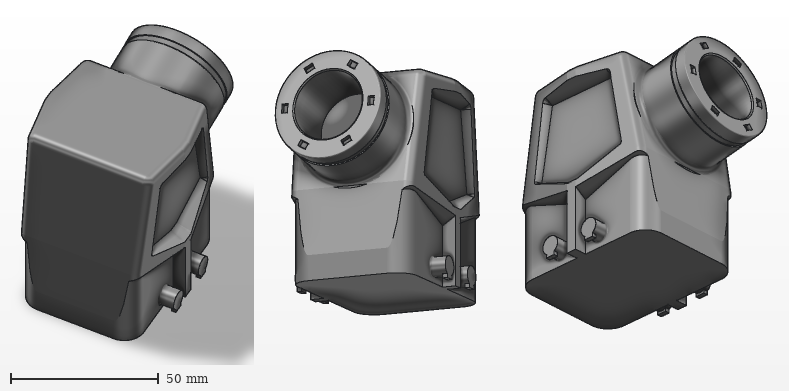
import cadquery as cq
import math

base_half_y = 30.55
base_straight_z = 8.75
shoulder_z = 32.0
shoulder_half_y = 28.6
roof_z = 72.4
end_tilt = 10.6
roof_half_y = shoulder_half_y - (roof_z - shoulder_z) * math.tan(math.radians(end_tilt))

base_half_x = 22.2
base_corner_radius = 7.5

hood_half_x = 27.0
ridge_half_y = 2.0
hood_side_slope = 0.172
hood_edge_radius = 3.0
reach = 2 * base_half_y
cut_margin = 0.8
hood_end_half_x = hood_half_x - hood_side_slope * (base_half_y - ridge_half_y)

underside_ridge_z = 24.4
underside_rise_y = 0.353
underside_rise_x = 0.66

recess_floor_x = 21.5
recess_taper = 27
recess_top_z = 64.5
recess_top_half_y = 14.3
recess_corner_z = 36.2
recess_corner_half_y = 19.3
recess_bottom_z = 30.1

pin_radius = 3.5
pin_y = 9.0
pin_z = 5.5
pin_end_x = 28.0
pin_root_fillet = 0.5
pin_tab_width = 3.7
pin_tab_depth = 1.7
pin_tab_bottom_z = 1.1

neck_radius = 19.7
neck_face_y = 46.9
neck_face_z = 56.65
neck_rim_fillet = 0.4
neck_root_fillet = 2.0
neck_embed = 3.25
groove_start = 4.6
groove_width = 2.35
groove_depth = 0.5
bore_radius = 12.6
bore_chamfer = 0.5
slot_count = 6
slot_circle_radius = 16.05
slot_radial = 2.2
slot_tangential = 3.3
slot_depth = 1.6


def mirrored(points):
    """Close an outline by reflecting its points in the vertical axis."""
    return points + [(-u, v) for u, v in reversed(points)]


def housing_envelope():
    outline = mirrored([
        (base_half_y, 0),
        (base_half_y, base_straight_z),
        (shoulder_half_y, shoulder_z),
        (roof_half_y, roof_z),
    ])
    return cq.Workplane("YZ").polyline(outline).close().extrude(hood_half_x, both=True)


def base_skirt():
    return (
        cq.Workplane("XY")
        .rect(2 * base_half_x, 2 * base_half_y)
        .extrude(shoulder_z)
        .edges("|Z")
        .fillet(base_corner_radius)
        .intersect(housing_envelope())
    )


def hood_underside_cutter(x_side, y_side):
    """Space below one sloping quarter of the underside."""

    def height(x, y):
        return underside_ridge_z + underside_rise_y * (y - ridge_half_y) - underside_rise_x * (hood_half_x - x)

    def section(y):
        outline = [(0, -reach), (x_side * reach, -reach), (x_side * reach, height(reach, y)), (0, height(0, y))]
        return cq.Workplane("XZ", origin=(0, y_side * y, 0)).polyline(outline).close().wires().val()

    return cq.Workplane(cq.Solid.makeLoft([section(0), section(reach)], True))


def hood_prism():
    plan = [
        (hood_end_half_x, -base_half_y),
        (hood_half_x, -ridge_half_y),
        (hood_half_x, ridge_half_y),
        (hood_end_half_x, base_half_y),
    ]
    return cq.Workplane("XY").polyline(mirrored(plan)).close().extrude(roof_z)


def hood():
    body = hood_prism().intersect(housing_envelope())
    rounded = body.faces(">Z").edges()
    for near_y, far_y in ((-reach, -roof_half_y), (roof_half_y, reach)):
        end_zone = cq.selectors.BoxSelector((-reach, near_y, 0), (reach, far_y, reach))
        rounded = rounded.add(body.edges(end_zone).edges("not(|X)"))
    body = body.newObject(rounded.vals()).fillet(hood_edge_radius)
    for x_side in (-1, 1):
        for y_side in (-1, 1):
            body = body.cut(hood_underside_cutter(x_side, y_side))
    return body


def center_ribs():
    return cq.Workplane("XY").rect(2 * hood_half_x, 2 * ridge_half_y).extrude(underside_ridge_z)


def side_recess():
    outline = mirrored([
        (ridge_half_y, recess_bottom_z),
        (recess_corner_half_y, recess_corner_z),
        (recess_top_half_y, recess_top_z),
    ])
    return (
        cq.Workplane("YZ", origin=(recess_floor_x, 0, 0))
        .polyline(outline)
        .close()
        .extrude(hood_half_x - recess_floor_x + cut_margin, taper=-recess_taper)
    )


def locking_pin(y):
    foot_radius = pin_radius + pin_root_fillet
    fillet_end_x = base_half_x + pin_root_fillet
    shank = cq.Workplane("YZ", origin=(0, y, pin_z)).circle(pin_radius).extrude(pin_end_x)
    foot = (
        cq.Workplane("XZ", origin=(0, y, pin_z))
        .lineTo(0, foot_radius)
        .lineTo(base_half_x, foot_radius)
        .radiusArc((fillet_end_x, pin_radius), -pin_root_fillet)
        .lineTo(fillet_end_x, 0)
        .close()
        .revolve(360, (0, 0, 0), (1, 0, 0))
    )
    tab = cq.Workplane("XY", origin=(pin_end_x - pin_tab_depth, y, pin_tab_bottom_z)).box(
        pin_tab_depth, pin_tab_width, pin_z - pin_tab_bottom_z, centered=(False, True, False)
    )
    return shank.union(foot).union(tab)


def both_sides(shape):
    return shape.union(shape.mirror("YZ"))


tilt = math.radians(end_tilt)
neck_axis = (0, math.cos(tilt), math.sin(tilt))
neck_face = cq.Plane(origin=(0, neck_face_y, neck_face_z), xDir=(1, 0, 0), normal=neck_axis)
back_face_y = roof_half_y + (roof_z - neck_face_z) * math.tan(tilt)
neck_length = (neck_face_y - back_face_y) * math.cos(tilt)


def neck():
    """Neck with a root fillet that runs over the hood's back face and its rounded roof edge."""
    pipe = cq.Workplane(neck_face).circle(neck_radius).extrude(-neck_length - neck_embed)

    foot_z = base_straight_z
    foot_y = roof_half_y + (roof_z - foot_z) * math.tan(tilt)
    block = (
        cq.Workplane("YZ")
        .polyline([(0, foot_z), (foot_y, foot_z), (roof_half_y, roof_z), (0, roof_z)])
        .close()
        .extrude(reach, both=True)
    )
    block = block.faces(">Z").edges(">Y").fillet(hood_edge_radius)
    joined = block.union(pipe)
    root_zone = cq.selectors.BoxSelector((-neck_radius, 0, foot_z), (neck_radius, foot_y, roof_z))
    root_arc = joined.edges(root_zone).edges("%CIRCLE").first()
    joined = root_arc.fillet(neck_root_fillet)

    hood_middle = block.intersect(cq.Workplane("XY").box(neck_radius, 2 * reach, 2 * reach))
    collar = (
        cq.Workplane(neck_face)
        .circle(neck_radius + neck_root_fillet)
        .extrude(-neck_length - neck_embed)
    )
    return joined.intersect(collar).cut(hood_middle)


def neck_groove():
    return (
        cq.Workplane(neck_face)
        .workplane(offset=-groove_start - groove_width)
        .circle(neck_radius + cut_margin)
        .circle(neck_radius - groove_depth)
        .extrude(groove_width)
    )


def neck_bore():
    bore = cq.Workplane(neck_face).circle(bore_radius).extrude(-neck_length)
    lead_in = (
        cq.Workplane(neck_face)
        .circle(bore_radius + bore_chamfer)
        .workplane(offset=-bore_chamfer)
        .circle(bore_radius)
        .loft()
    )
    return bore.union(lead_in)


def neck_slots():
    return (
        cq.Workplane(neck_face)
        .polarArray(slot_circle_radius, 0, 360, slot_count)
        .rect(slot_radial, slot_tangential)
        .extrude(-slot_depth)
    )


def round_neck_rim(body):
    rim = body.faces(cq.selectors.DirectionMinMaxSelector(cq.Vector(*neck_axis))).edges()
    return rim.fillet(neck_rim_fillet)


result = hood().union(neck()).union(base_skirt()).union(center_ribs())
result = result.cut(both_sides(side_recess()))
for pin_place in (-pin_y, pin_y):
    result = result.union(both_sides(locking_pin(pin_place)))
result = round_neck_rim(result)
result = result.cut(neck_groove()).cut(neck_bore()).cut(neck_slots())